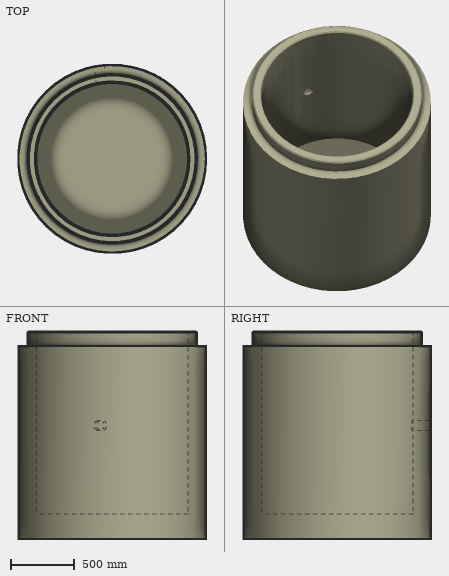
import cadquery as cq

total_height = 1625.0
outer_radius = 735.3
collar_radius = 663.0
collar_height = 115.0
bore_radius = 595.0
rim_chamfer = 10.0
floor_thickness = 198.0

port_diameter = 81.0
port_height = 889.0
port_angle = 98.0

shoulder_height = total_height - collar_height


def make_vessel():
    """Revolve the wall, collar and floor about Z, with both collar rims chamfered."""
    return (
        cq.Workplane("XZ")
        .moveTo(0, 0)
        .lineTo(outer_radius, 0)
        .lineTo(outer_radius, shoulder_height)
        .lineTo(collar_radius, shoulder_height)
        .lineTo(collar_radius, total_height - rim_chamfer)
        .lineTo(collar_radius - rim_chamfer, total_height)
        .lineTo(bore_radius + rim_chamfer, total_height)
        .lineTo(bore_radius, total_height - rim_chamfer)
        .lineTo(bore_radius, floor_thickness)
        .lineTo(0, floor_thickness)
        .close()
        .revolve(360, (0, 0, 0), (0, 1, 0))
    )


def make_port_cutter():
    """Radial cylinder running from the axis out through one side of the wall."""
    return (
        cq.Workplane("YZ")
        .center(0, port_height)
        .circle(port_diameter / 2)
        .extrude(outer_radius + port_diameter)
        .rotate((0, 0, 0), (0, 0, 1), port_angle)
    )


result = make_vessel().cut(make_port_cutter())